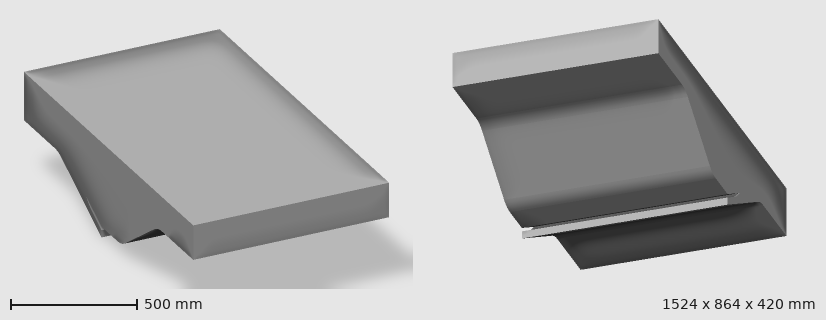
import cadquery as cq
import math

length = 1524.0
width = 864.0
left_depth = 213.0
right_depth = 152.0

keel_depth = 373.0
left_slope = math.tan(math.radians(28))
right_slope = math.tan(math.radians(34.3))
right_slope_top_x = 1204.0
right_slope_bottom_x = right_slope_top_x - (keel_depth - right_depth) / right_slope
left_bend_radius = 122.0
right_bend_radius = 122.0

lip_end_x = 700.0
lip_depth = 420.0
left_slope_top_x = lip_end_x - (lip_depth - left_depth) / left_slope
slot_height = 15.0
slot_length = 140.0
slot_straight_length = 81.0


def make_body():
    """Extrude the side outline across the width and round its bends."""
    outline = [
        (0, 0),
        (0, -left_depth),
        (left_slope_top_x, -left_depth),
        (lip_end_x, -lip_depth),
        (lip_end_x, -keel_depth),
        (right_slope_bottom_x, -keel_depth),
        (right_slope_top_x, -right_depth),
        (length, -right_depth),
        (length, 0),
    ]
    body = cq.Workplane("XZ").polyline(outline).close().extrude(-width)

    def round_bend(solid, x, depth, radius):
        edge = cq.selectors.NearestToPointSelector((x, width / 2, -depth))
        return solid.edges("|Y").edges(edge).fillet(radius)

    body = round_bend(body, left_slope_top_x, left_depth, left_bend_radius)
    body = round_bend(body, right_slope_top_x, right_depth, right_bend_radius)
    return round_bend(body, right_slope_bottom_x, keel_depth, right_bend_radius)


def make_slot():
    """Slot parallel to the left slope, its floor curving up to a sharp inner end."""
    tip = (lip_end_x - slot_length, -keel_depth + slot_length * left_slope)
    floor_end = (lip_end_x, -keel_depth - slot_height)
    curve_start = (
        lip_end_x - slot_straight_length,
        floor_end[1] + slot_straight_length * left_slope,
    )
    return (
        cq.Workplane("XZ")
        .moveTo(lip_end_x, -keel_depth)
        .lineTo(*floor_end)
        .lineTo(*curve_start)
        .tangentArcPoint(tip, relative=False)
        .close()
        .extrude(-width)
    )


result = make_body().cut(make_slot())